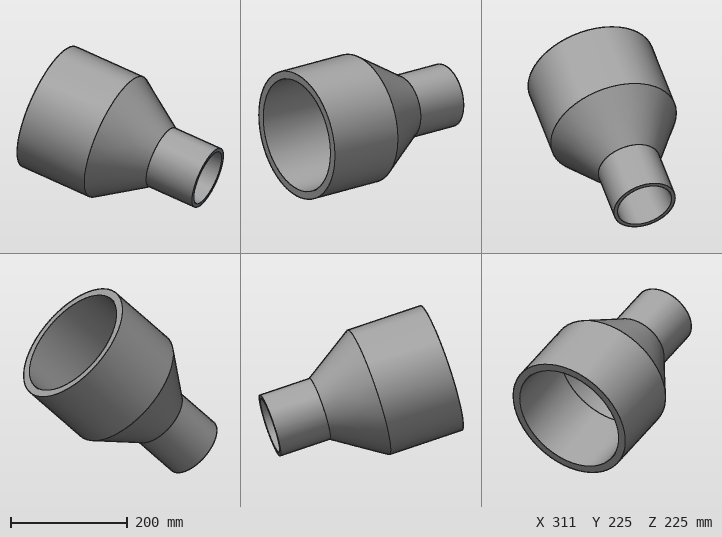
import cadquery as cq

wide_outer_diameter = 225.0
wide_inner_diameter = 198.2
narrow_outer_diameter = 110.0
narrow_inner_diameter = 96.8

total_length = 311.0
wide_length = 132.0
narrow_length = 90.0
cone_end = total_length - narrow_length


def stepped_cone(wide_diameter, narrow_diameter):
    """Solid of revolution about X: wide cylinder, cone, narrow cylinder."""
    wide_radius = wide_diameter / 2
    narrow_radius = narrow_diameter / 2
    return (
        cq.Workplane("XY")
        .moveTo(0, 0)
        .lineTo(0, wide_radius)
        .lineTo(wide_length, wide_radius)
        .lineTo(cone_end, narrow_radius)
        .lineTo(total_length, narrow_radius)
        .lineTo(total_length, 0)
        .close()
        .revolve(360, (0, 0, 0), (1, 0, 0))
    )


outer_body = stepped_cone(wide_outer_diameter, narrow_outer_diameter)
bore = stepped_cone(wide_inner_diameter, narrow_inner_diameter)

result = outer_body.cut(bore)